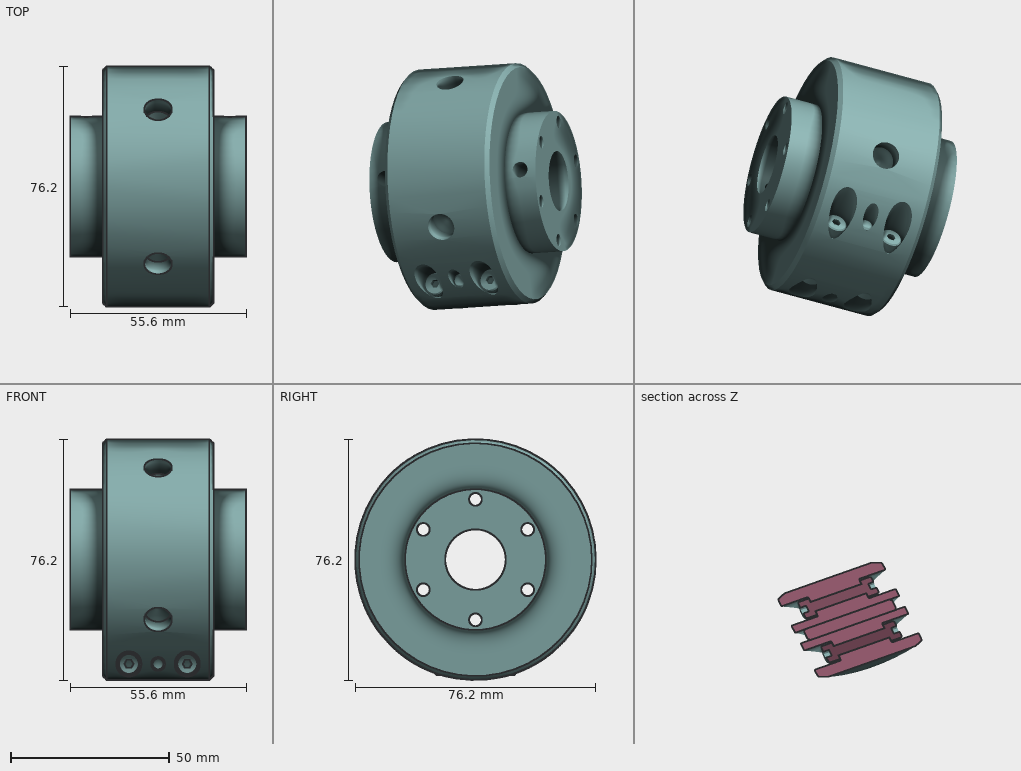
import cadquery as cq
import math

overall_length = 55.6
ring_diameter = 76.2
ring_width = 35.05
ring_chamfer = 1.3
hub_diameter = 44.5
bore_diameter = 19.05
hub_length = (overall_length - ring_width) / 2
hub_center_x = (ring_width + hub_length) / 2
ring_radius = ring_diameter / 2

bolt_hole_count = 6
bolt_hole_diameter = 4.0
bolt_circle_radius = 19.05
first_bolt_angle = 30.0

set_screw_hole_diameter = 4.95

spanner_hole_diameter = 8.7
spanner_hole_depth = 6.3
spanner_tip_angle = 118.0
spanner_hole_angles = [50.0, 130.0, 210.0, 330.0]

fastener_z = -33.0
screw_spacing = 18.45
screw_positions = [-screw_spacing / 2, screw_spacing / 2]
head_diameter = 7.0
head_height = 3.8
head_chamfer = 0.4
head_face_y = -12.65
shank_diameter = 3.8
socket_width = 2.5
socket_depth = 1.9
counterbore_diameter = 8.0
seat_y = head_face_y + head_height
pin_diameter = 4.4
pin_length = 30.5
pin_chamfer = 0.5


def x_cylinder(diameter, length):
    """Cylinder on the X axis, centred on the origin."""
    return cq.Workplane("YZ", origin=(-length / 2, 0, 0)).circle(diameter / 2).extrude(length)


def y_cylinder(x, z, diameter, start_y, end_y):
    """Cylinder parallel to Y between two Y positions."""
    profile = cq.Workplane("XZ", origin=(x, start_y, z)).circle(diameter / 2)
    return profile.extrude(start_y - end_y)


def bolt_holes():
    return (
        cq.Workplane("YZ")
        .polarArray(bolt_circle_radius, first_bolt_angle, 360, bolt_hole_count)
        .circle(bolt_hole_diameter / 2)
        .extrude(overall_length, both=True)
    )


def spanner_hole(angle):
    """Drilled hole with a conical bottom, pointing at the X axis."""
    radius = spanner_hole_diameter / 2
    shoulder = ring_radius - spanner_hole_depth
    tip = shoulder - radius / math.tan(math.radians(spanner_tip_angle / 2))
    profile = [(0, tip), (radius, shoulder), (radius, ring_radius + radius), (0, ring_radius + radius)]
    drill = cq.Workplane("XY").polyline(profile).close().revolve(360, (0, 0, 0), (0, 1, 0))
    return drill.rotate((0, 0, 0), (1, 0, 0), angle)


def make_collar():
    ring = x_cylinder(ring_diameter, ring_width).edges().chamfer(ring_chamfer)
    collar = ring.union(x_cylinder(hub_diameter, overall_length))
    collar = collar.cut(x_cylinder(bore_diameter, overall_length))
    collar = collar.cut(bolt_holes())
    for angle in spanner_hole_angles:
        collar = collar.cut(spanner_hole(angle))
    for x in (-hub_center_x, hub_center_x):
        collar = collar.cut(y_cylinder(x, 0, set_screw_hole_diameter, 0, hub_diameter))
    for x in screw_positions:
        collar = collar.cut(y_cylinder(x, fastener_z, shank_diameter, -ring_radius, ring_radius))
        collar = collar.cut(y_cylinder(x, fastener_z, counterbore_diameter, -ring_radius, seat_y))
        collar = collar.cut(y_cylinder(x, fastener_z, counterbore_diameter, -seat_y, ring_radius))
    return collar.cut(y_cylinder(0, fastener_z, pin_diameter, -ring_radius, ring_radius))


def make_screw(x):
    """Clamp screw with a chamfered socket head at each end of a plain shank."""
    head = y_cylinder(x, fastener_z, head_diameter, head_face_y, seat_y)
    head = head.faces("<Y").chamfer(head_chamfer)
    socket_corner_diameter = socket_width / math.cos(math.pi / 6)
    socket = (
        cq.Workplane("XZ", origin=(x, head_face_y, fastener_z))
        .polygon(6, socket_corner_diameter)
        .extrude(-socket_depth)
    )
    head = head.cut(socket)
    shank = y_cylinder(x, fastener_z, shank_diameter, seat_y, -seat_y)
    return shank.union(head).union(head.mirror("XZ"))


def make_pin():
    pin = y_cylinder(0, fastener_z, pin_diameter, -pin_length / 2, pin_length / 2)
    return pin.faces("<Y or >Y").chamfer(pin_chamfer)


collar = make_collar()
screws = [make_screw(x) for x in screw_positions]
pin = make_pin()

result = cq.Compound.makeCompound([collar.val(), *[screw.val() for screw in screws], pin.val()])